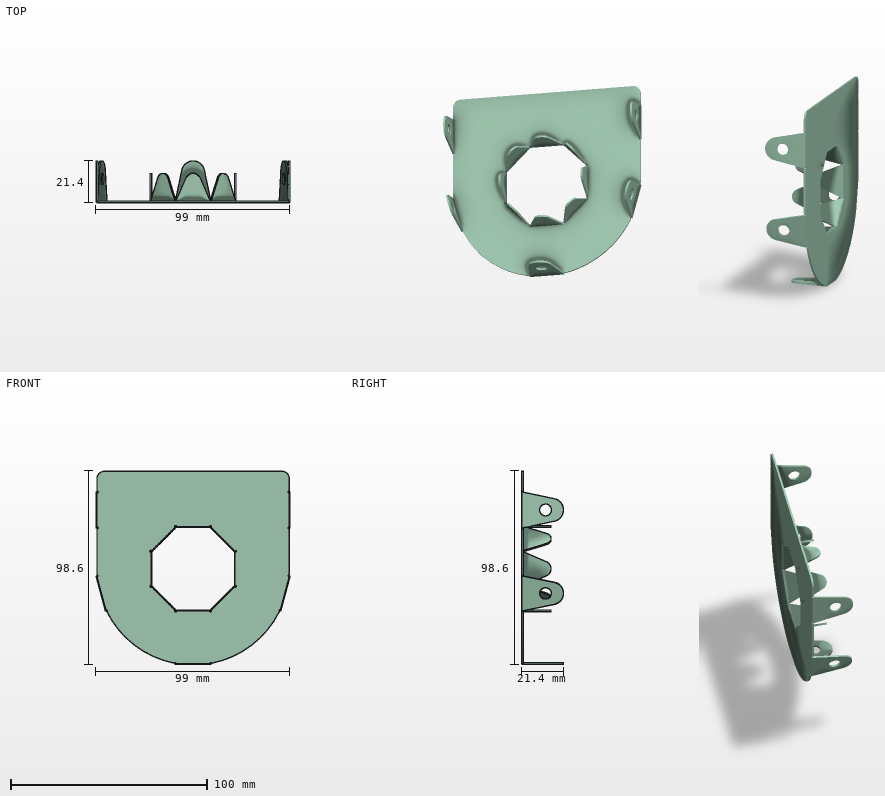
import cadquery as cq
import math

sheet = 1.0

tab_projection = 0.5
front_step = 0.3
relief_radius = 0.5

plate_radius = 49.1
plate_top = 49.8
corner_radius = 4.0

rim_tab_length = 21.4
rim_tab_width = 18.2
rim_tab_tip_radius = 5.9
rim_tab_hole_diameter = 5.9
rim_tab_hole_depth = 12.2
side_tab_face = 49.4
side_tab_height = 30.0
disc_tab_face = 48.8
disc_tab_drop_angle = 15

octagon_sides = 8
octagon_apothem = 21.0
opening_tab_length = 15.0
opening_tab_tip_radius = 4.0
opening_tab_width = 2 * octagon_apothem * math.tan(math.pi / octagon_sides)


def place(body, angle, height=0):
    """Turn a body built on the +X side about the Y axis (towards +Z), then raise it."""
    return body.rotate((0, 0, 0), (0, 1, 0), -angle).translate((0, 0, height))


def make_tab(length, width, tip_radius, inner):
    """Tapered round-tipped tab whose inner face is at x = inner."""
    half_width = width / 2
    tip_centre = length - tip_radius
    rise = tip_centre - sheet
    taper = math.acos(tip_radius / math.hypot(rise, half_width)) - math.atan2(rise, half_width)
    tangent_y = tip_centre + tip_radius * math.sin(taper)
    tangent_z = tip_radius * math.cos(taper)
    return (
        cq.Workplane("YZ", origin=(inner, 0, 0))
        .moveTo(front_step, -half_width)
        .lineTo(sheet, -half_width)
        .lineTo(tangent_y, -tangent_z)
        .threePointArc((length, 0), (tangent_y, tangent_z))
        .lineTo(sheet, half_width)
        .lineTo(front_step, half_width)
        .close()
        .extrude(sheet)
    )


def make_rim_tab(face):
    """Tab whose outer face is at x = face, with its hole."""
    inner = face - sheet
    tab = make_tab(rim_tab_length, rim_tab_width, rim_tab_tip_radius, inner)
    hole = (
        cq.Workplane("YZ", origin=(inner, 0, 0))
        .center(rim_tab_hole_depth, 0)
        .circle(rim_tab_hole_diameter / 2)
        .extrude(sheet)
    )
    return tab.cut(hole)


def make_reliefs(edge, width):
    """Two round cutters at the ends of a tab's plate edge at x = edge."""
    return (
        cq.Workplane("XZ")
        .pushPoints([(edge, -width / 2), (edge, width / 2)])
        .circle(relief_radius)
        .extrude(-sheet)
    )


def make_rim_seat(face):
    """Cutter that trims the rim straight along a tab, with its end reliefs."""
    edge = face - tab_projection
    trim = cq.Workplane("XY").box(sheet, sheet, rim_tab_width, centered=(False, False, True))
    return trim.translate((edge, 0, 0)).union(make_reliefs(edge, rim_tab_width))


def make_plate():
    """Half disc carrying a rectangle with rounded top corners."""
    outline = (
        cq.Workplane("XZ")
        .moveTo(-plate_radius, 0)
        .threePointArc((0, -plate_radius), (plate_radius, 0))
        .lineTo(plate_radius, plate_top)
        .lineTo(-plate_radius, plate_top)
        .close()
        .extrude(-sheet)
    )
    return outline.edges("|Y and >Z").fillet(corner_radius)


def make_opening():
    """Octagonal cutter with a round relief at every corner."""
    edge = octagon_apothem + tab_projection
    corner_distance = edge / math.cos(math.pi / octagon_sides)
    octagon = cq.Workplane("XZ").polygon(octagon_sides, 2 * corner_distance).extrude(-sheet)
    reliefs = (
        cq.Workplane("XZ")
        .polarArray(corner_distance, 0, 360, octagon_sides)
        .circle(relief_radius)
        .extrude(-sheet)
    )
    return place(octagon.union(reliefs), 180 / octagon_sides)


rim_tabs = [
    (side_tab_face, 0, side_tab_height),
    (side_tab_face, 180, side_tab_height),
    (disc_tab_face, -disc_tab_drop_angle, 0),
    (disc_tab_face, 180 + disc_tab_drop_angle, 0),
    (disc_tab_face, 270, 0),
]

result = make_plate().cut(make_opening())

for face, angle, height in rim_tabs:
    result = result.cut(place(make_rim_seat(face), angle, height))
    result = result.union(place(make_rim_tab(face), angle, height))

opening_tab = make_tab(opening_tab_length, opening_tab_width, opening_tab_tip_radius, octagon_apothem)
for index in range(octagon_sides):
    result = result.union(place(opening_tab, index * 360 / octagon_sides))